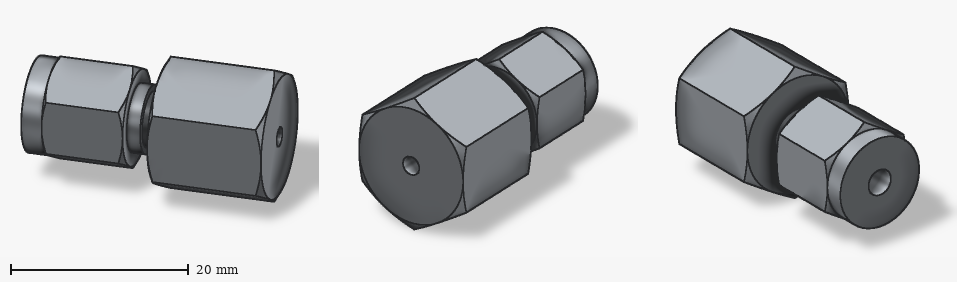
import cadquery as cq
import math

total_length = 28.7
collar_end = 2.4
nut_end = 11.95
ring_end = 13.52
body_start = 15.3

hexagon_sides = 6
nut_flats = 11.1
body_flats = 14.3
corner_chamfer_angle = 30.0

collar_diameter = nut_flats
ring_diameter = 7.98
neck_diameter = 6.43

socket_diameter = 3.15
socket_depth = nut_end
through_diameter = 2.25


def cylinder(start, end, diameter):
    """Round bar along X between two stations."""
    return cq.Workplane("YZ", origin=(start, 0, 0)).circle(diameter / 2).extrude(end - start)


def chamfered_hex(start, end, flats):
    """Hexagonal bar along X whose corners are cut by a cone at both ends.

    Each cone leaves an end face whose circle just touches the flats.
    """
    corner_diameter = flats / math.cos(math.pi / hexagon_sides)
    corner_radius = corner_diameter / 2
    end_radius = flats / 2
    chamfer_length = (corner_radius - end_radius) * math.tan(math.radians(corner_chamfer_angle))

    prism = (
        cq.Workplane("YZ", origin=(start, 0, 0))
        .transformed(rotate=(0, 0, 90))
        .polygon(hexagon_sides, corner_diameter)
        .extrude(end - start)
    )
    envelope = (
        cq.Workplane("XY")
        .moveTo(start, 0)
        .lineTo(start, end_radius)
        .lineTo(start + chamfer_length, corner_radius)
        .lineTo(end - chamfer_length, corner_radius)
        .lineTo(end, end_radius)
        .lineTo(end, 0)
        .close()
        .revolve(360, (0, 0, 0), (1, 0, 0))
    )
    return prism.intersect(envelope)


collar = cylinder(0, collar_end, collar_diameter)
nut = chamfered_hex(collar_end, nut_end, nut_flats)
ring = cylinder(nut_end, ring_end, ring_diameter)
neck = cylinder(ring_end, body_start, neck_diameter)
body = chamfered_hex(body_start, total_length, body_flats)

socket = cylinder(0, socket_depth, socket_diameter)
through_hole = cylinder(0, total_length, through_diameter)

fitting = collar.union(nut).union(ring).union(neck).union(body)
result = fitting.cut(socket).cut(through_hole)